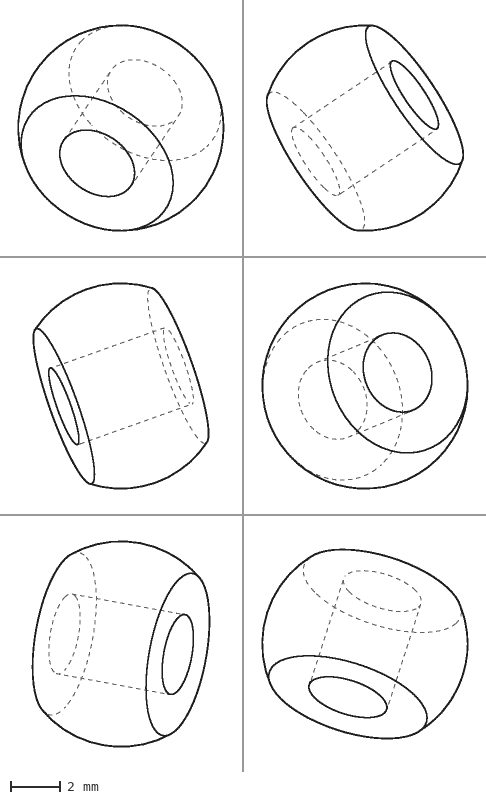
import cadquery as cq
import math

ball_diameter = 8.36
width = 5.0
bore_diameter = 3.3

ball_radius = ball_diameter / 2
half_width = width / 2
flat_radius = math.sqrt(ball_radius**2 - half_width**2)
bore_radius = bore_diameter / 2


def bored_ball():
    """Ball with two parallel flats and a through bore, revolved about the Y axis."""
    half_section = (
        cq.Workplane("XY")
        .moveTo(bore_radius, -half_width)
        .lineTo(flat_radius, -half_width)
        .threePointArc((ball_radius, 0), (flat_radius, half_width))
        .lineTo(bore_radius, half_width)
        .close()
    )
    return half_section.revolve(360, (0, 0, 0), (0, 1, 0))


result = bored_ball()